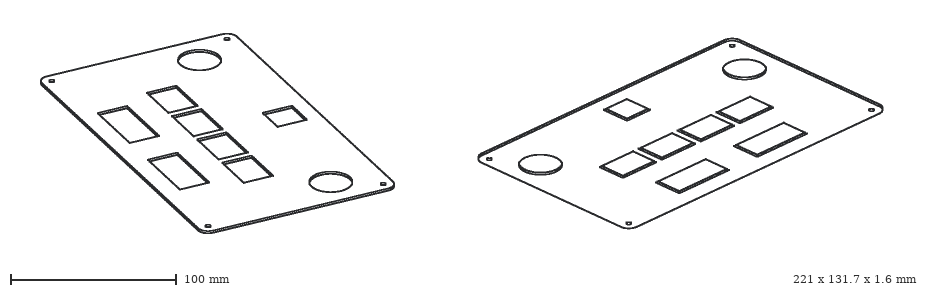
import cadquery as cq

length = 221.0
width = 131.7
thickness = 1.6
corner_radius = 6.6

mount_hole_diameter = 3.0

round_opening_diameter = 26.0
round_opening_x = 87.3
round_opening_y = 32.3

window_height = 19.9
square_window_y = 45.5
small_window_length = 28.7
small_window_count = 4
small_window_pitch = 33.4
small_window_y = -5.0
large_window_length = 42.6
large_window_count = 2
large_window_pitch = 2 * small_window_pitch
large_window_y = -43.3


def make_panel():
    """Flat plate with rounded corners, resting on Z = 0."""
    plate = cq.Workplane("XY").box(length, width, thickness, centered=(True, True, False))
    return plate.edges("|Z").fillet(corner_radius)


def cut_round_holes(panel, points, diameter):
    """Cut a through hole at each point."""
    return panel.faces(">Z").workplane(origin=(0, 0, thickness)).pushPoints(points).hole(diameter)


def cut_window_row(panel, window_length, count, pitch, row_y):
    """Cut a row of equal rectangular windows, centred on X = 0."""
    centers = [((i - (count - 1) / 2) * pitch, row_y) for i in range(count)]
    windows = cq.Workplane("XY").pushPoints(centers).rect(window_length, window_height).extrude(thickness)
    return panel.cut(windows)


mount_x = length / 2 - corner_radius
mount_y = width / 2 - corner_radius
mount_points = [(sx * mount_x, sy * mount_y) for sx in (-1, 1) for sy in (-1, 1)]
round_opening_points = [(side * round_opening_x, round_opening_y) for side in (-1, 1)]

result = make_panel()
result = cut_round_holes(result, mount_points, mount_hole_diameter)
result = cut_round_holes(result, round_opening_points, round_opening_diameter)
result = cut_window_row(result, window_height, 1, 0, square_window_y)
result = cut_window_row(result, small_window_length, small_window_count, small_window_pitch, small_window_y)
result = cut_window_row(result, large_window_length, large_window_count, large_window_pitch, large_window_y)